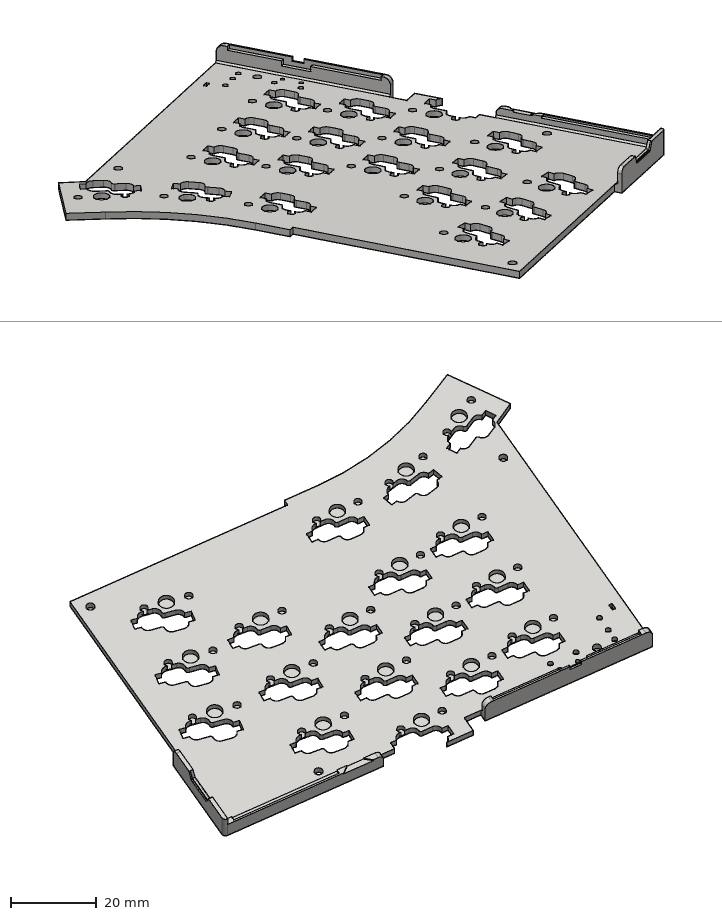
import cadquery as cq
import math

overall_length = 120.2
overall_width = 94.5
plate_thickness = 1.8
plate_left = 5.4
plate_right = 118.3
plate_bottom = 15.3
plate_back = 90.2
back_face = 92.2
outer_corner_radius = 1.0

thumb_edge = 13.7
thumb_edge_right = 60.0
bend_start = 51.1
bend_angle = 30
bend_radius = 68.8
fan_tip = (0, 14.7)
fan_foot = (8.7, 0)
fan_shoulder = 17.9

tab_left = 54.7
tab_right = 63.7

wall_height = 6.4
low_wall_height = 4.2
back_wall_inner = 90.7
side_wall_inner = 119.1
foot_height = 0.5
left_wall_end = 50.3
right_wall_start = 77.4
side_wall_end = 68.0
wall_end_radius = 1.8
low_wall_end_radius = 1.5
side_wall_end_radius = 1.5

lip_inner = 91.7
left_step = (8.3, 47.9)
left_step_floor = 5.4
right_step = (89.1, 117.2)
right_step_floor = 3.7

plug_center = 26.0
plug_pocket_width = 7.5
plug_pocket_floor = 4.1
plug_notch_width = 3.0
plug_notch_floor = 5.3
jack_center = 84.2
jack_inner_width = 4.3
jack_outer_width = 7.9
jack_floor = 3.8
side_notch_center = 80.2
side_notch_top_width = 9.3
side_notch_floor_width = 7.2
side_notch_floor = 4.6
side_notch_bevel = 0.4

row_pitch = 17.1
key_columns = [
    ((27.7, 74.7), 0, 3),
    ((45.7, 77.4), 0, 3),
    ((63.7, 85.8), 0, 3),
    ((84.3, 75.5), -4, 3),
    ((104.6, 60.0), -10, 3),
]
thumb_keys = [((50.7, 22.5), 0), ((30.8, 19.7), 15), ((12.3, 12.0), 30)]

stem_diameter = 3.8
pin_diameter = 1.9
pin_offset = 5.5
socket_lobe_centers = [(0, 5.9), (5.0, 3.7)]
socket_lobe_length = 5.9
socket_lobe_width = 5.8
socket_lobe_radius = 1.7
socket_waist_radius = 0.6
socket_pad_reach = 4.6
socket_pad_width = 2.8
recess_depth = 1.5

lead_diameter = 1.3
lead_points = [(12.7, 87.2), (12.7, 84.0), (12.7, 80.0), (22.5, 86.1), (29.3, 86.1)]
peg_diameter = 1.0
peg_points = [(23.5, 88.6), (28.3, 88.6)]
slot_center = (8.5, 78.5)
slot_size = (0.8, 1.7)
screw_diameter = 2.0
screw_points = [(17.5, 87.3), (92.1, 87.3), (9.3, 27.8), (114.8, 18.9)]


def box(x_range, y_range, z_range):
    """Axis-aligned block between the given limits."""
    sizes = [high - low for low, high in (x_range, y_range, z_range)]
    corner = (x_range[0], y_range[0], z_range[0])
    return cq.Workplane("XY").box(*sizes, centered=False).translate(corner)


def bend_point(angle):
    """Point of the bent thumb edge where its slope has the given angle."""
    turn = math.radians(angle)
    x = bend_start - bend_radius * math.sin(turn)
    y = thumb_edge - bend_radius * (1 - math.cos(turn))
    return (x, y)


def make_plate():
    plate = (
        cq.Workplane("XY")
        .moveTo(*fan_tip)
        .lineTo(*fan_foot)
        .lineTo(*bend_point(bend_angle))
        .threePointArc(bend_point(bend_angle / 2), (bend_start, thumb_edge))
        .lineTo(thumb_edge_right, thumb_edge)
        .lineTo(thumb_edge_right, plate_bottom)
        .lineTo(plate_right, plate_bottom)
        .lineTo(plate_right, plate_back)
        .lineTo(tab_right, plate_back)
        .lineTo(tab_right, overall_width)
        .lineTo(tab_left, overall_width)
        .lineTo(tab_left, plate_back)
        .lineTo(plate_left, plate_back)
        .lineTo(plate_left, fan_shoulder)
        .close()
        .extrude(plate_thickness)
    )
    return plate


def foot_profile(plane, plate_edge, inner_face, outer_face, height):
    """Cross-section of a wall with its sloping foot, in a plane across the wall."""
    return cq.Workplane(plane).polyline(
        [
            (plate_edge, 0),
            (outer_face, 0),
            (outer_face, height),
            (inner_face, height),
            (inner_face, plate_thickness + foot_height),
            (plate_edge, plate_thickness),
        ]
    ).close()


def back_wall(start, end, height):
    profile = foot_profile("YZ", plate_back, back_wall_inner, back_face, height)
    return profile.extrude(end - start).translate((start, 0, 0))


def make_left_wall():
    wall = back_wall(plate_left, left_wall_end, wall_height)
    wall = wall.edges("|Y").edges(">Z").fillet(wall_end_radius)
    step = box(left_step, (plate_back, lip_inner), (left_step_floor, wall_height))
    pocket_half = plug_pocket_width / 2
    pocket = box(
        (plug_center - pocket_half, plug_center + pocket_half),
        (plate_back, lip_inner),
        (plug_pocket_floor, wall_height),
    )
    notch_half = plug_notch_width / 2
    notch = box(
        (plug_center - notch_half, plug_center + notch_half),
        (plate_back, back_face),
        (plug_notch_floor, wall_height),
    )
    return wall.cut(step).cut(pocket).cut(notch)


def make_right_wall():
    wall = back_wall(right_wall_start, overall_length, low_wall_height)
    wall = wall.edges("|Y").edges(">Z").edges("<X").fillet(low_wall_end_radius)
    step = box(right_step, (plate_back, lip_inner), (right_step_floor, low_wall_height))
    flare = (
        cq.Workplane("XY", origin=(0, 0, jack_floor))
        .polyline(
            [
                (jack_center - jack_inner_width / 2, back_wall_inner),
                (jack_center + jack_inner_width / 2, back_wall_inner),
                (jack_center + jack_outer_width / 2, back_face),
                (jack_center - jack_outer_width / 2, back_face),
            ]
        )
        .close()
        .extrude(wall_height)
    )
    return wall.cut(step).cut(flare)


def make_side_wall():
    profile = foot_profile("XZ", plate_right, side_wall_inner, overall_length, wall_height)
    wall = profile.extrude(back_face - side_wall_end).translate((0, back_face, 0))
    wall = wall.edges("|X").edges(">Z").edges("<Y").fillet(side_wall_end_radius)
    notch = side_notch_profile(side_notch_floor).extrude(overall_length)
    bevel_start = overall_length - side_notch_bevel
    bevel = (
        side_notch_profile(side_notch_floor - side_notch_bevel)
        .extrude(side_notch_bevel)
        .translate((bevel_start, 0, 0))
    )
    return wall.cut(notch).cut(bevel)


def side_notch_profile(floor):
    top_half = side_notch_top_width / 2
    floor_half = side_notch_floor_width / 2
    return cq.Workplane("YZ").polyline(
        [
            (side_notch_center - top_half, wall_height),
            (side_notch_center - floor_half, floor),
            (side_notch_center + floor_half, floor),
            (side_notch_center + top_half, wall_height),
        ]
    ).close()


def make_socket():
    """Through opening for a key socket: two joined rounded lobes with a pad at each outer end."""
    lobes = cq.Workplane("XY")
    pads = cq.Workplane("XY")
    for (x, y), outward in zip(socket_lobe_centers, (-1, 1)):
        lobe = (
            cq.Workplane("XY", origin=(x, y, 0))
            .rect(socket_lobe_length, socket_lobe_width)
            .extrude(plate_thickness)
            .edges("|Z")
            .fillet(socket_lobe_radius)
        )
        lobes = lobes.add(lobe)
        pad = (
            cq.Workplane("XY", origin=(x + outward * socket_pad_reach / 2, y, 0))
            .rect(socket_pad_reach, socket_pad_width)
            .extrude(plate_thickness)
        )
        pads = pads.add(pad)
    lobes = lobes.combine()
    left_x, left_y = socket_lobe_centers[0]
    right_x, right_y = socket_lobe_centers[1]
    upper_waist = (left_x + socket_lobe_length / 2, right_y + socket_lobe_width / 2)
    lower_waist = (right_x - socket_lobe_length / 2, left_y - socket_lobe_width / 2)
    for waist_x, waist_y in (upper_waist, lower_waist):
        waist = cq.NearestToPointSelector((waist_x, waist_y, plate_thickness / 2))
        lobes = lobes.edges("|Z").edges(waist).fillet(socket_waist_radius)
    return lobes.union(pads.combine())


def recesses(points, diameter):
    """Blind round recesses in the top of the plate."""
    recess_floor = plate_thickness - recess_depth
    plane = cq.Workplane("XY", origin=(0, 0, recess_floor))
    return plane.pushPoints(points).circle(diameter / 2).extrude(recess_depth)


def make_key():
    stem = recesses([(0, 0)], stem_diameter)
    pins = recesses([(-pin_offset, 0), (pin_offset, 0)], pin_diameter)
    return make_socket().union(stem).union(pins)


def key_placements():
    """Position and tilt of every key."""
    placements = list(thumb_keys)
    for (x, y), tilt, count in key_columns:
        turn = math.radians(tilt)
        for row in range(count):
            drop = row * row_pitch
            placements.append(((x + drop * math.sin(turn), y - drop * math.cos(turn)), tilt))
    return placements


def make_small_holes():
    screws = cq.Workplane("XY").pushPoints(screw_points).circle(screw_diameter / 2).extrude(plate_thickness)
    slot_floor = plate_thickness - recess_depth
    slot = cq.Workplane("XY", origin=(*slot_center, slot_floor)).rect(*slot_size).extrude(recess_depth)
    leads = recesses(lead_points, lead_diameter)
    pegs = recesses(peg_points, peg_diameter)
    return screws.union(leads).union(pegs).union(slot)


result = make_plate().union(make_left_wall()).union(make_right_wall()).union(make_side_wall())
result = result.edges("|Z").edges(">X").edges(">Y").fillet(outer_corner_radius)

key = make_key().val()
for (key_x, key_y), key_tilt in key_placements():
    turned_key = key.rotate(cq.Vector(0, 0, 0), cq.Vector(0, 0, 1), key_tilt)
    result = result.cut(cq.Workplane(turned_key.translate(cq.Vector(key_x, key_y, 0))))

result = result.cut(make_small_holes())